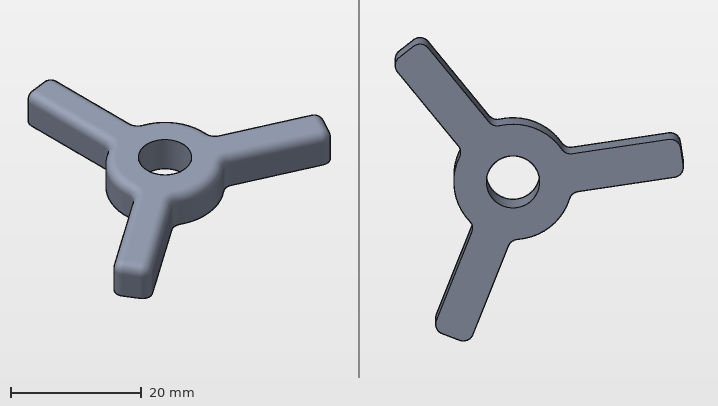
import cadquery as cq

thickness = 6.0
arm_width = 6.05
arm_length = 26.15
arm_count = 3
hub_diameter = 18.15
bore_diameter = 8.15
edge_radius = 1.6


def make_arm(angle):
    """Square-ended bar from the hub axis along +Y, turned about Z."""
    arm = cq.Workplane("XY").box(arm_width, arm_length, thickness, centered=(True, False, False))
    return arm.rotate((0, 0, 0), (0, 0, 1), angle)


body = cq.Workplane("XY").circle(hub_diameter / 2).extrude(thickness)
for index in range(arm_count):
    body = body.union(make_arm(index * 360 / arm_count))

body = body.edges("|Z or >Z").fillet(edge_radius)

result = body.faces("<Z").workplane(origin=(0, 0, 0)).circle(bore_diameter / 2).cutThruAll()